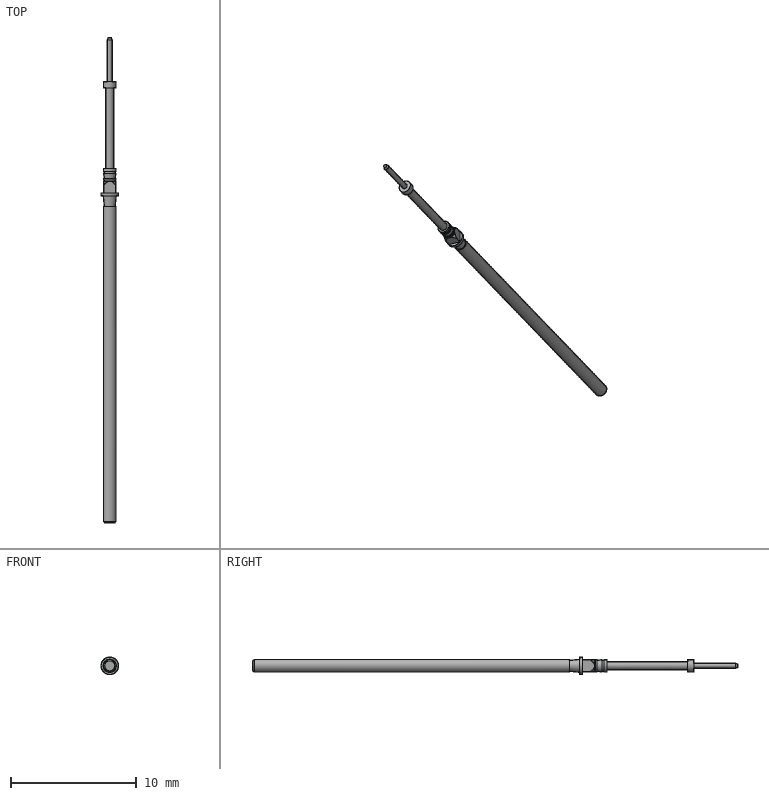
import cadquery as cq

overall_length = 38.6
flange_diameter = 1.4

tip_diameter = 0.42
tip_chamfer_length = 0.2
tip_chamfer_depth = 0.08
tip_length = 3.5

collar_diameter = 1.0
collar_length = 0.5

rod_diameter = 0.66
rod_length = 6.4

ring_diameter = 1.0
groove_diameter = 0.88
wide_ring_width = 0.25
wide_groove_width = 0.14
barb_length = 0.4
thin_ring_width = 0.13
narrow_groove_width = 0.1

square_side = 0.97
square_length = 0.92
cone_start_diameter = 1.0
cone_length = 0.35

flange_width = 0.25

shoulder_back_diameter = 1.05
shoulder_front_diameter = 0.88
shoulder_length = 0.82

tube_diameter = 1.02
tube_chamfer_length = 0.13
tube_chamfer_depth = 0.11

back_end = overall_length / 2
front_end = -overall_length / 2

collar_back = back_end - tip_length
rod_back = collar_back - collar_length
neck_back = rod_back - rod_length
barb_back = neck_back - wide_ring_width - wide_groove_width
thin_ring_back = barb_back - barb_length
square_back = thin_ring_back - thin_ring_width - narrow_groove_width
flange_back = square_back - square_length
shoulder_back = flange_back - flange_width
tube_back = shoulder_back - shoulder_length
tube_length = tube_back - front_end


def cross_section(y_back):
    """Workplane across the axis at y_back, extruding towards -Y."""
    return cq.Workplane("XZ", origin=(0, y_back, 0))


def cylinder(y_back, diameter, length):
    return cross_section(y_back).circle(diameter / 2).extrude(length)


def taper(y_back, back_diameter, front_diameter, length):
    """Cone frustum from back_diameter at y_back to front_diameter, length further towards -Y."""
    back_circle = cross_section(y_back).circle(back_diameter / 2)
    return back_circle.workplane(offset=length).circle(front_diameter / 2).loft()


def make_tip():
    tip = cylinder(back_end, tip_diameter, tip_length)
    return tip.faces(">Y").chamfer(tip_chamfer_length, tip_chamfer_depth)


def make_neck():
    core = cylinder(neck_back, groove_diameter, neck_back - square_back)
    wide_ring = cylinder(neck_back, ring_diameter, wide_ring_width)
    barb = taper(barb_back, ring_diameter, groove_diameter, barb_length)
    thin_ring = cylinder(thin_ring_back, ring_diameter, thin_ring_width)
    return core.union(wide_ring).union(barb).union(thin_ring)


def make_square_body():
    square = cross_section(square_back).rect(square_side, square_side).extrude(square_length)
    cone = taper(square_back, cone_start_diameter, flange_diameter, cone_length)
    cone_front = square_back - cone_length
    envelope = cone.union(cylinder(cone_front, flange_diameter, cone_front - flange_back))
    return square.intersect(envelope)


def make_shoulder():
    return taper(shoulder_back, shoulder_back_diameter, shoulder_front_diameter, shoulder_length)


def make_tube():
    tube = cylinder(tube_back, tube_diameter, tube_length)
    return tube.faces("<Y").chamfer(tube_chamfer_length, tube_chamfer_depth)


result = (
    make_tip()
    .union(cylinder(collar_back, collar_diameter, collar_length))
    .union(cylinder(rod_back, rod_diameter, rod_length))
    .union(make_neck())
    .union(make_square_body())
    .union(cylinder(flange_back, flange_diameter, flange_width))
    .union(make_shoulder())
    .union(make_tube())
)